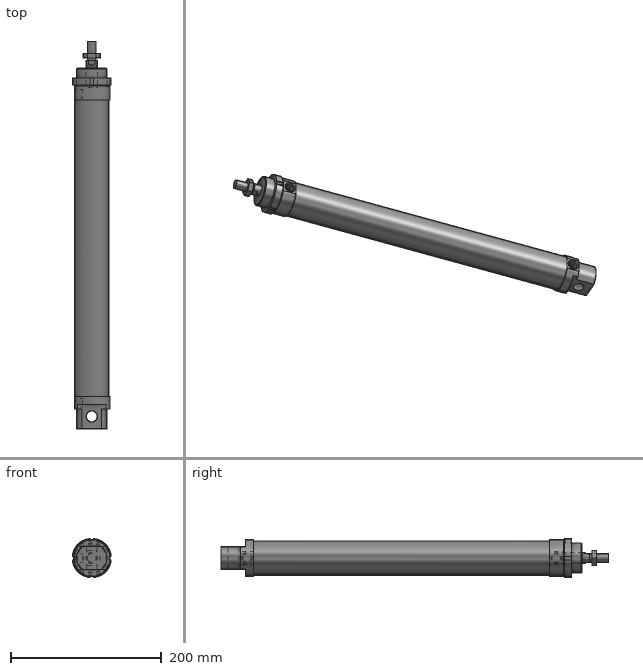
import cadquery as cq
import math


TUBE_DIAMETER = 46.0
CAP_DIAMETER = 49.0
LUG_LENGTH = 26.0
REAR_CAP_LENGTH = 17.0
TUBE_LENGTH = 392.5
FRONT_CAP_LENGTH = 18.5
NECK_LENGTH = 24.0
LUG_DIAMETER = 40.0
LUG_THICKNESS = 30.5
LUG_FLAT_LENGTH = 32.5
PIVOT_DIAMETER = 14.5
PIVOT_Y = 16.5
NECK_DIAMETER = LUG_DIAMETER
NECK_CHAMFER = 1.0

REAR_CAP_FRONT_Y = LUG_LENGTH + REAR_CAP_LENGTH
FRONT_CAP_REAR_Y = REAR_CAP_FRONT_Y + TUBE_LENGTH
FRONT_CAP_FRONT_Y = FRONT_CAP_REAR_Y + FRONT_CAP_LENGTH
NECK_FRONT_Y = FRONT_CAP_FRONT_Y + NECK_LENGTH

PORT_DIAMETER = 11.5
PORT_MOUTH_DIAMETER = 14.5
PORT_DEPTH = 10.5
PORT_FACE_X = -TUBE_DIAMETER / 2
REAR_PORT_Y = 34.5
FRONT_PORT_Y = 444.5

ROD_DIAMETER = 15.0
ROD_BORE_DEPTH = 25.5
ROD_SHOULDER_Y = 489.0
ROD_THREAD_DIAMETER = 12.0
ROD_TIP_Y = 514.0
ROD_FLAT_WIDTH = 12.0
ROD_FLAT_SIDE_LENGTH = 4.0
ROD_FLAT_LENGTH = 6.5
ROD_BASE_Y = NECK_FRONT_Y - ROD_BORE_DEPTH

MOUNTING_NUT_DIAMETER = 52.0
MOUNTING_NUT_LENGTH = 9.0
MOUNTING_NUT_REAR_Y = 456.0
MOUNTING_NUT_FRONT_Y = MOUNTING_NUT_REAR_Y + MOUNTING_NUT_LENGTH
SLOT_WIDTH = 4.5
SLOT_DEPTH = 1.5
SLOT_COUNT = 4

LOCK_NUT_ACROSS_FLATS = 20.0
LOCK_NUT_LENGTH = 6.0
LOCK_NUT_REAR_Y = 492.0
LOCK_NUT_FRONT_Y = LOCK_NUT_REAR_Y + LOCK_NUT_LENGTH


def cross_plane(y):
    """Workplane square to the Y axis."""
    return cq.Workplane("XZ", origin=(0, y, 0))


def cylinder(diameter, y_start, y_end):
    """Round bar along Y from y_start forward to y_end."""
    return cross_plane(y_start).circle(diameter / 2).extrude(y_start - y_end)


def block(x_range, y_range, z_range):
    """Box given by its two limits along each axis."""
    sizes = [high - low for low, high in (x_range, y_range, z_range)]
    corner = (x_range[0], y_range[0], z_range[0])
    return cq.Workplane("XY").box(*sizes, centered=False).translate(corner)


def lug_flat_cut():
    """Material removed above the lug, running into the rear cap."""
    cap_radius = CAP_DIAMETER / 2
    return block((-cap_radius, cap_radius), (0, LUG_FLAT_LENGTH), (LUG_THICKNESS / 2, cap_radius))


def pivot_hole():
    """Hole along Z through the whole lug."""
    plane = cq.Workplane("XY", origin=(0, PIVOT_Y, 0))
    return plane.circle(PIVOT_DIAMETER / 2).extrude(LUG_THICKNESS, both=True)


def port_face_cut(y_start, y_end):
    """Material removed from the -X side of a cap to leave a flat port face."""
    cap_radius = CAP_DIAMETER / 2
    return block((-cap_radius, PORT_FACE_X), (y_start, y_end), (-cap_radius, cap_radius))


def port_hole(y):
    """Blind port with a 45 degree countersunk mouth."""
    mouth_radius = PORT_MOUTH_DIAMETER / 2
    port_radius = PORT_DIAMETER / 2
    mouth_depth = mouth_radius - port_radius
    profile = (
        cq.Workplane("XY", origin=(PORT_FACE_X, y, 0))
        .lineTo(0, mouth_radius)
        .lineTo(mouth_depth, port_radius)
        .lineTo(PORT_DEPTH, port_radius)
        .lineTo(PORT_DEPTH, 0)
        .close()
    )
    return profile.revolve(360, (0, 0, 0), (1, 0, 0))


def make_housing():
    lug = cylinder(LUG_DIAMETER, 0, LUG_LENGTH)
    rear_cap = cylinder(CAP_DIAMETER, LUG_LENGTH, REAR_CAP_FRONT_Y)
    tube = cylinder(TUBE_DIAMETER, REAR_CAP_FRONT_Y, FRONT_CAP_REAR_Y)
    front_cap = cylinder(CAP_DIAMETER, FRONT_CAP_REAR_Y, FRONT_CAP_FRONT_Y)
    neck = cylinder(NECK_DIAMETER, FRONT_CAP_FRONT_Y, NECK_FRONT_Y)
    neck = neck.faces(">Y").chamfer(NECK_CHAMFER)
    body = tube.union(rear_cap).union(lug).union(front_cap).union(neck)

    upper_flat = lug_flat_cut()
    body = body.cut(upper_flat).cut(upper_flat.mirror("XY"))
    body = body.cut(pivot_hole())

    body = body.cut(port_face_cut(LUG_LENGTH, REAR_CAP_FRONT_Y))
    body = body.cut(port_face_cut(FRONT_CAP_REAR_Y, FRONT_CAP_FRONT_Y))
    for port_y in (REAR_PORT_Y, FRONT_PORT_Y):
        body = body.cut(port_hole(port_y))

    return body.cut(cylinder(ROD_DIAMETER, ROD_BASE_Y, NECK_FRONT_Y))


def rod_flat_cut():
    """Material removed above the rod for a wrench flat with a rounded end."""
    half_chord = math.sqrt(ROD_DIAMETER**2 - ROD_FLAT_WIDTH**2) / 2
    flat_depth = (ROD_DIAMETER - ROD_FLAT_WIDTH) / 2
    outline = (
        cq.Workplane("XY", origin=(0, ROD_SHOULDER_Y, ROD_FLAT_WIDTH / 2))
        .moveTo(-half_chord, 0)
        .lineTo(-half_chord, -ROD_FLAT_SIDE_LENGTH)
        .threePointArc((0, -ROD_FLAT_LENGTH), (half_chord, -ROD_FLAT_SIDE_LENGTH))
        .lineTo(half_chord, 0)
        .close()
    )
    return outline.extrude(flat_depth)


def make_rod():
    shank = cylinder(ROD_DIAMETER, ROD_BASE_Y, ROD_SHOULDER_Y)
    upper_flat = rod_flat_cut()
    shank = shank.cut(upper_flat).cut(upper_flat.mirror("XY"))
    thread = cylinder(ROD_THREAD_DIAMETER, ROD_SHOULDER_Y, ROD_TIP_Y)
    return shank.union(thread)


def make_mounting_nut():
    nut = cylinder(MOUNTING_NUT_DIAMETER, MOUNTING_NUT_REAR_Y, MOUNTING_NUT_FRONT_Y)
    nut = nut.cut(cylinder(NECK_DIAMETER, MOUNTING_NUT_REAR_Y, MOUNTING_NUT_FRONT_Y))
    nut_radius = MOUNTING_NUT_DIAMETER / 2
    slot = block(
        (-SLOT_WIDTH / 2, SLOT_WIDTH / 2),
        (MOUNTING_NUT_REAR_Y, MOUNTING_NUT_FRONT_Y),
        (nut_radius - SLOT_DEPTH, nut_radius),
    )
    for index in range(SLOT_COUNT):
        nut = nut.cut(slot.rotate((0, 0, 0), (0, 1, 0), 360 / SLOT_COUNT * index))
    return nut


def make_lock_nut():
    across_corners = LOCK_NUT_ACROSS_FLATS / math.cos(math.radians(30))
    nut = cross_plane(LOCK_NUT_REAR_Y).polygon(6, across_corners).extrude(-LOCK_NUT_LENGTH)
    return nut.cut(cylinder(ROD_THREAD_DIAMETER, LOCK_NUT_REAR_Y, LOCK_NUT_FRONT_Y))


housing = make_housing().solids()
rod = make_rod().solids()
mounting_nut = make_mounting_nut().solids()
lock_nut = make_lock_nut().solids()

result = cq.Compound.makeCompound([housing.val(), rod.val(), mounting_nut.val(), lock_nut.val()])